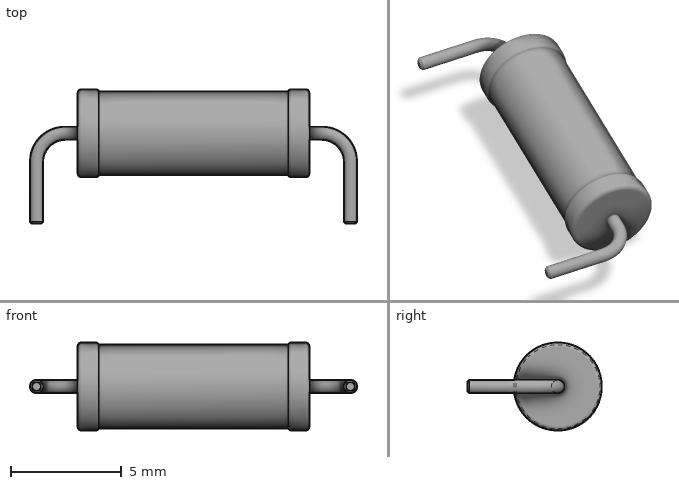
import cadquery as cq

overall_length = 14.8
overall_depth = 6.1

body_length = 10.5
body_diameter = 3.8
cap_diameter = 4.0
cap_length = 1.0
cap_edge_radius = 0.2

lead_diameter = 0.6
bend_radius = 1.29
lead_tip_chamfer = 0.1

lead_x = (overall_length - lead_diameter) / 2
lead_tip_y = cap_diameter / 2 - overall_depth
bend_start_x = lead_x - bend_radius


def cylinder_along_x(start_x, length, diameter):
    return cq.Workplane("YZ", origin=(start_x, 0, 0)).circle(diameter / 2).extrude(length)


def make_cap():
    """Cap at the +X end, rounded on both rims."""
    cap = cylinder_along_x(body_length / 2 - cap_length, cap_length, cap_diameter)
    return cap.edges().fillet(cap_edge_radius)


def make_lead():
    """Lead at the +X end: straight out of the body, bent, then straight to a chamfered tip."""
    path = (
        cq.Workplane("XY")
        .moveTo(0, 0)
        .lineTo(bend_start_x, 0)
        .radiusArc((lead_x, -bend_radius), bend_radius)
        .lineTo(lead_x, lead_tip_y)
    )
    lead = cq.Workplane("YZ").circle(lead_diameter / 2).sweep(path)
    return lead.faces("<Y").chamfer(lead_tip_chamfer)


result = cylinder_along_x(-body_length / 2 + cap_length / 2, body_length - cap_length, body_diameter)
for end_part in (make_cap(), make_lead()):
    result = result.union(end_part).union(end_part.mirror("YZ"))